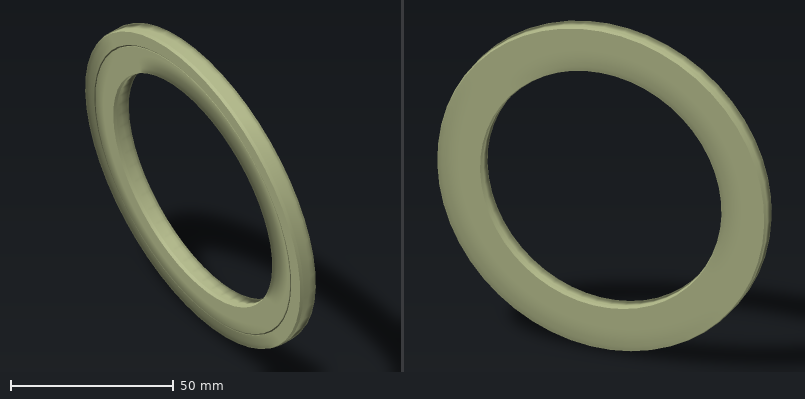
import cadquery as cq

outer_diameter = 110.0
bore_diameter = 80.0
thickness = 6.0

chamfer_length = 1.0
chamfer_depth = 0.36

recess_diameter = 100.0
gap_width = 0.5
flange_thickness = 0.5

outer_radius = outer_diameter / 2
bore_radius = bore_diameter / 2
recess_radius = recess_diameter / 2
flange_radius = recess_radius - gap_width
hub_radius = bore_radius + (outer_radius - recess_radius)

front_face = -thickness / 2
back_face = thickness / 2
front_chamfer_end = front_face + chamfer_length
back_chamfer_end = back_face - chamfer_length
flange_back = front_face + flange_thickness
recess_floor = flange_back + gap_width


def revolve_about_y(outline):
    """Revolve a closed outline of (radius, y) points about the Y axis, starting at +Z."""
    return cq.Workplane("ZY").polyline(outline).close().revolve(360, (0, 0), (0, 1))


def make_outer_ring():
    """Chamfered rim with a front recess that leaves room for the inner ring's flange."""
    outline = [
        (recess_radius, front_face),
        (outer_radius - chamfer_depth, front_face),
        (outer_radius, front_chamfer_end),
        (outer_radius, back_chamfer_end),
        (outer_radius - chamfer_depth, back_face),
        (hub_radius, back_face),
        (hub_radius, recess_floor),
        (recess_radius, recess_floor),
    ]
    return revolve_about_y(outline)


def make_inner_ring():
    """Hub with a chamfered bore and a thin front flange that covers most of the recess."""
    outline = [
        (bore_radius + chamfer_depth, front_face),
        (flange_radius, front_face),
        (flange_radius, flange_back),
        (hub_radius, flange_back),
        (hub_radius, back_face),
        (bore_radius + chamfer_depth, back_face),
        (bore_radius, back_chamfer_end),
        (bore_radius, front_chamfer_end),
    ]
    return revolve_about_y(outline)


outer_ring = make_outer_ring()
inner_ring = make_inner_ring()

result = cq.Compound.makeCompound([outer_ring.val(), inner_ring.val()])